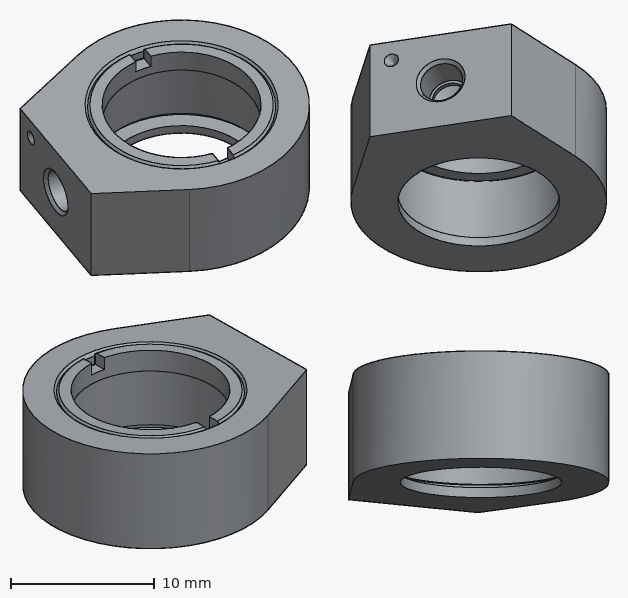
import cadquery as cq
import math

HOUSING_LENGTH = 18.9
HOUSING_WIDTH = 17.78
HOUSING_RADIUS = HOUSING_WIDTH / 2
HOUSING_HEIGHT = 7.62
FOOT_DISTANCE = HOUSING_LENGTH - HOUSING_RADIUS
FOOT_WIDTH = 10.19

BORE_RADIUS = 6.46
BORE_CHAMFER = 0.25
LIP_HEIGHT = 0.7
LIP_RADIUS = 5.61
RELIEF_RADIUS = 6.79
RELIEF_HEIGHT = 0.4

RING_RADIUS = 6.54
RING_OPENING_RADIUS = 5.52
RING_HEIGHT = 1.66
RING_CHAMFER = 0.17
NOTCH_WIDTH = 1.2
NOTCH_DEPTH = 0.95

MOUNT_MOUTH_RADIUS = 1.75
MOUNT_THREAD_RADIUS = 1.51
MOUNT_DRILL_RADIUS = 1.29
MOUNT_THREAD_DEPTH = 2.45
MOUNT_DRILL_DEPTH = 2.74
DRILL_POINT_ANGLE = 150

DIMPLE_X = -3.55
DIMPLE_ABOVE_CENTER = 2.27
DIMPLE_RADIUS = 0.51
DIMPLE_DEPTH = 0.53


def revolved_about_z(profile):
    """Turn a list of (radius, height) points about the bore axis."""
    return cq.Workplane("XZ").polyline(profile).close().revolve(360, (0, 0), (0, 1))


def sunk_into_foot(profile, x, z):
    """Cutter turned about a Y axis at (x, z); points are (radius, depth below the foot face)."""
    cutter = cq.Workplane("XY").polyline(profile).close().revolve(360, (0, 0), (0, 1))
    return cutter.translate((x, -FOOT_DISTANCE, z))


def make_blank():
    """Round body whose sides run tangentially down to a flat foot."""
    half_foot = FOOT_WIDTH / 2
    corner_distance = math.hypot(half_foot, FOOT_DISTANCE)
    corner_angle = math.atan2(FOOT_DISTANCE, half_foot)
    tangent_angle = corner_angle - math.acos(HOUSING_RADIUS / corner_distance)
    tangent_x = HOUSING_RADIUS * math.cos(tangent_angle)
    tangent_y = -HOUSING_RADIUS * math.sin(tangent_angle)
    return (
        cq.Workplane("XY")
        .moveTo(-half_foot, -FOOT_DISTANCE)
        .lineTo(half_foot, -FOOT_DISTANCE)
        .lineTo(tangent_x, tangent_y)
        .threePointArc((0, HOUSING_RADIUS), (-tangent_x, tangent_y))
        .close()
        .extrude(HOUSING_HEIGHT)
    )


def make_bore():
    """Chamfered bore that ends in a relief groove above the lip, with the lip opening below it."""
    return revolved_about_z([
        (0, 0),
        (LIP_RADIUS, 0),
        (LIP_RADIUS, LIP_HEIGHT),
        (RELIEF_RADIUS, LIP_HEIGHT),
        (RELIEF_RADIUS, LIP_HEIGHT + RELIEF_HEIGHT),
        (BORE_RADIUS, LIP_HEIGHT + RELIEF_HEIGHT),
        (BORE_RADIUS, HOUSING_HEIGHT - BORE_CHAMFER),
        (BORE_RADIUS + BORE_CHAMFER, HOUSING_HEIGHT),
        (0, HOUSING_HEIGHT),
    ])


def make_mounting_hole():
    """Countersunk threaded hole, then a narrower pilot with a conical drill point."""
    countersink_depth = MOUNT_MOUTH_RADIUS - MOUNT_THREAD_RADIUS
    point_length = MOUNT_DRILL_RADIUS / math.tan(math.radians(DRILL_POINT_ANGLE / 2))
    profile = [
        (0, 0),
        (MOUNT_MOUTH_RADIUS, 0),
        (MOUNT_THREAD_RADIUS, countersink_depth),
        (MOUNT_THREAD_RADIUS, MOUNT_THREAD_DEPTH),
        (MOUNT_DRILL_RADIUS, MOUNT_THREAD_DEPTH),
        (MOUNT_DRILL_RADIUS, MOUNT_DRILL_DEPTH),
        (0, MOUNT_DRILL_DEPTH + point_length),
    ]
    return sunk_into_foot(profile, 0, HOUSING_HEIGHT / 2)


def make_dimple():
    """Plain conical dimple."""
    profile = [(0, 0), (DIMPLE_RADIUS, 0), (0, DIMPLE_DEPTH)]
    return sunk_into_foot(profile, DIMPLE_X, HOUSING_HEIGHT / 2 + DIMPLE_ABOVE_CENTER)


def make_ring():
    """Retaining ring, flush with the housing top, with a spanner notch on each side."""
    ring_bottom = HOUSING_HEIGHT - RING_HEIGHT
    body = revolved_about_z([
        (RING_OPENING_RADIUS, ring_bottom),
        (RING_RADIUS, ring_bottom),
        (RING_RADIUS, HOUSING_HEIGHT - RING_CHAMFER),
        (RING_RADIUS - RING_CHAMFER, HOUSING_HEIGHT),
        (RING_OPENING_RADIUS, HOUSING_HEIGHT),
    ])
    notches = (
        cq.Workplane("XY")
        .workplane(offset=HOUSING_HEIGHT - NOTCH_DEPTH)
        .rect(HOUSING_WIDTH, NOTCH_WIDTH)
        .extrude(NOTCH_DEPTH)
    )
    return body.cut(notches)


ring = make_ring()

housing = (
    make_blank()
    .cut(make_bore())
    .cut(make_mounting_hole())
    .cut(make_dimple())
    .cut(ring)
)

result = cq.Compound.makeCompound([housing.val(), ring.val()])